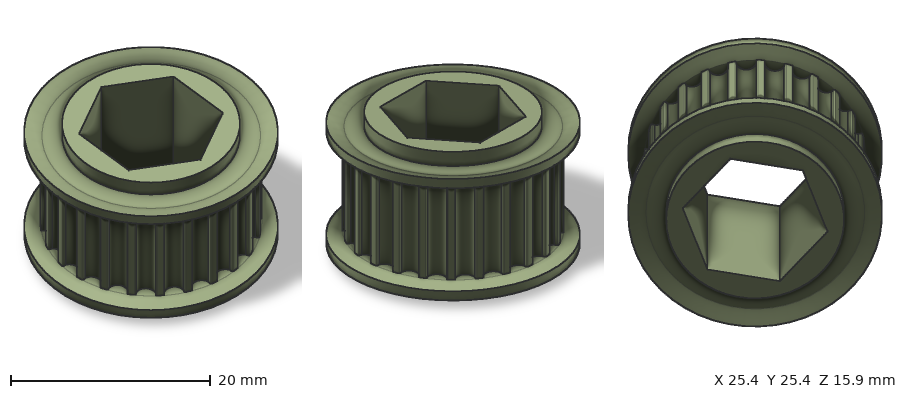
import cadquery as cq
import math

TOTAL_HEIGHT = 15.88
HUB_RADIUS = 8.9
HEX_ACROSS_FLATS = 12.75

TOOTH_COUNT = 24
TOOTH_TIP_RADIUS = 11.07
TOOTH_TIP_FILLET = 0.13
BAND_HEIGHT = 10.62
GROOVE_MOUTH_WIDTH = 2.03
GROOVE_ARC_WIDTH = 1.95
GROOVE_ARC_DEPTH = 0.45
GROOVE_DEPTH = 1.1

FLANGE_RADIUS = 12.7
FLANGE_THICKNESS = 1.02
FLANGE_RISE = 0.45


def make_groove_cutter():
    """Round-bottomed groove along Z, placed to cut the +X side of the band."""
    mouth_half = GROOVE_MOUTH_WIDTH / 2
    arc_half = GROOVE_ARC_WIDTH / 2
    mouth_x = math.sqrt(TOOTH_TIP_RADIUS**2 - mouth_half**2)
    arc_x = TOOTH_TIP_RADIUS - GROOVE_ARC_DEPTH
    root_x = TOOTH_TIP_RADIUS - GROOVE_DEPTH
    return (
        cq.Workplane("XY", origin=(0, 0, -BAND_HEIGHT / 2))
        .moveTo(FLANGE_RADIUS, -mouth_half)
        .lineTo(mouth_x, -mouth_half)
        .lineTo(arc_x, -arc_half)
        .threePointArc((root_x, 0), (arc_x, arc_half))
        .lineTo(mouth_x, mouth_half)
        .lineTo(FLANGE_RADIUS, mouth_half)
        .close()
        .extrude(BAND_HEIGHT)
    )


def is_tooth_corner(edge):
    """True for an edge lying on the tooth tip cylinder."""
    center = edge.Center()
    return math.isclose(math.hypot(center.x, center.y), TOOTH_TIP_RADIUS, rel_tol=1e-4)


def make_toothed_band():
    """Solid cylinder with evenly spaced grooves and rounded tooth corners."""
    band = cq.Workplane("XY").cylinder(BAND_HEIGHT, TOOTH_TIP_RADIUS)
    groove = make_groove_cutter()
    for index in range(TOOTH_COUNT):
        band = band.cut(groove.rotate((0, 0, 0), (0, 0, 1), index * 360 / TOOTH_COUNT))
    return band.edges("|Z").filter(is_tooth_corner).fillet(TOOTH_TIP_FILLET)


def make_pulley():
    """Hub and toothed band in one piece, with a hexagonal through bore."""
    hub = cq.Workplane("XY").cylinder(TOTAL_HEIGHT, HUB_RADIUS)
    hex_across_corners = HEX_ACROSS_FLATS / math.cos(math.pi / 6)
    bore = (
        cq.Workplane("XY", origin=(0, 0, -TOTAL_HEIGHT / 2))
        .polygon(6, hex_across_corners)
        .extrude(TOTAL_HEIGHT)
    )
    return make_toothed_band().union(hub).cut(bore)


def make_upper_flange():
    """Ring around the hub, resting on the band, its rim bent up away from the teeth."""
    seat_z = BAND_HEIGHT / 2
    bend_angle = math.atan2(FLANGE_RISE, FLANGE_RADIUS - TOOTH_TIP_RADIUS)
    outer_bend_radius = TOOTH_TIP_RADIUS - FLANGE_THICKNESS * math.tan(bend_angle / 2)
    rim_height = FLANGE_THICKNESS / math.cos(bend_angle)
    return (
        cq.Workplane("XZ")
        .moveTo(HUB_RADIUS, seat_z)
        .lineTo(TOOTH_TIP_RADIUS, seat_z)
        .lineTo(FLANGE_RADIUS, seat_z + FLANGE_RISE)
        .lineTo(FLANGE_RADIUS, seat_z + FLANGE_RISE + rim_height)
        .lineTo(outer_bend_radius, seat_z + FLANGE_THICKNESS)
        .lineTo(HUB_RADIUS, seat_z + FLANGE_THICKNESS)
        .close()
        .revolve(360, (0, 0, 0), (0, 1, 0))
    )


pulley = make_pulley()
upper_flange = make_upper_flange()
lower_flange = upper_flange.mirror("XY")

result = cq.Compound.makeCompound([pulley.val(), upper_flange.val(), lower_flange.val()])